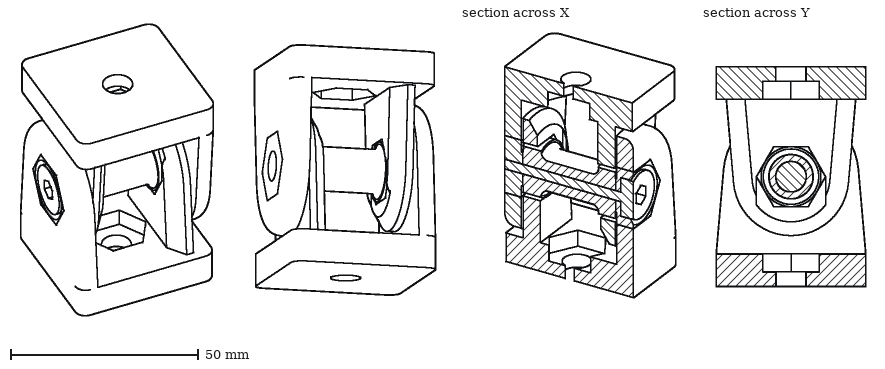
import cadquery as cq
import math


height = 58.75
plate_width = 40.0
plate_thickness = 8.75
edge_radius = 3.0
ear_gap = 0.37
bracket_shift = ear_gap / 2
plate_face = plate_thickness - height / 2

outer_ear_thickness = 5.3
outer_ear_radius = 18.1
ear_arc_rise = 0.35
inner_ear_thickness = 5.6
inner_ear_inset = 2.7
bevel_depth = 3.6
bevel_width = 5.0
ear_split = plate_width / 2 - outer_ear_thickness

mount_hole_diameter = 8.0
mount_hex_flats = 15.0
mount_hex_depth = 4.8

outer_hex_flats = 17.0
inner_hex_flats = 16.0
slot_depth = 0.95
collar_diameter = 12.7
mouth_diameter = 16.5
mouth_depth = 0.9
head_diameter = 13.7
head_height = 4.0
socket_flats = 5.0
socket_depth = 3.5
shank_diameter = 8.0
spool_diameter = 11.9
flange_diameter = inner_hex_flats
flare_diameter = 14.8
flare_length = 1.9
spool_shift = 0.26

outer_face = plate_width / 2 + bracket_shift
insert_face = ear_split + bracket_shift
spool_end = ear_split - bracket_shift
inner_ear_face = spool_end - inner_ear_thickness
front_flange_face = -inner_ear_face - spool_shift
back_flange_face = inner_ear_face - spool_shift


def corner_diameter(flats):
    """Diameter through the corners of a regular hexagon."""
    return flats / math.cos(math.pi / 6)


def plane_at(y):
    """XZ plane at the given Y, extruding towards +Y; local y points along -Z."""
    return cq.Workplane("XZ", origin=(0, y, 0)).transformed(rotate=(180, 0, 0))


def disc(diameter, y_start, y_end):
    return plane_at(y_start).circle(diameter / 2).extrude(y_end - y_start)


def hexagon(flats, y_start, y_end):
    """Hexagonal prism along Y with its corners on the X sides."""
    return plane_at(y_start).polygon(6, corner_diameter(flats)).extrude(y_end - y_start)


def ear_outline(y, base_half_width, tip_radius, foot):
    """Ear outline with a round tip near the hinge axis and flanks tangent to it.

    The flanks pass through base_half_width at the plate face and go down to z = -foot.
    """
    base_drop = ear_arc_rise - plate_face
    base_distance = math.hypot(base_half_width, base_drop)
    tangent_angle = math.acos(tip_radius / base_distance) - math.atan2(base_drop, base_half_width)
    tangent_x = tip_radius * math.cos(tangent_angle)
    tangent_z = ear_arc_rise + tip_radius * math.sin(tangent_angle)
    foot_half_width = base_half_width + (foot + plate_face) * math.tan(tangent_angle)
    return (
        plane_at(y)
        .moveTo(-foot_half_width, foot)
        .lineTo(-tangent_x, -tangent_z)
        .threePointArc((0, -ear_arc_rise - tip_radius), (tangent_x, -tangent_z))
        .lineTo(foot_half_width, foot)
        .close()
    )


def make_plate():
    plate = cq.Workplane("XY").workplane(offset=-height / 2)
    plate = plate.rect(plate_width, plate_width).extrude(plate_thickness)
    return plate.edges("|Z").fillet(edge_radius)


def make_outer_ear():
    """Ear flush with the -Y side of the plate, its outer rim rounded."""
    ear = ear_outline(-plate_width / 2, plate_width / 2, outer_ear_radius, -plate_face)
    ear = ear.extrude(outer_ear_thickness)
    return ear.faces("<Y").edges("not <Z").fillet(edge_radius)


def make_inner_ear():
    """Ear on the +Y side, bevelled towards the middle, with a shallow slot to its tip."""
    half_width = plate_width / 2 - inner_ear_inset
    radius = outer_ear_radius - inner_ear_inset
    inner_face = ear_split - inner_ear_thickness
    bevel_start = inner_face + bevel_depth
    bevel_angle = math.degrees(math.atan(bevel_width / bevel_depth))
    embedment = 0.8 * plate_thickness
    foot = embedment - plate_face

    rim = ear_outline(bevel_start, half_width, radius, foot).extrude(ear_split - bevel_start)
    bevel = ear_outline(bevel_start, half_width, radius, foot).extrude(-bevel_depth, taper=bevel_angle)
    slot = cq.Workplane("XY").box(
        corner_diameter(inner_hex_flats), slot_depth, outer_ear_radius, centered=(True, False, False)
    )
    return rim.union(bevel).cut(slot.translate((0, inner_face, 0)))


def make_bracket():
    """Lower bracket, centred on the plate."""
    bracket = make_plate().union(make_outer_ear()).union(make_inner_ear())
    outer_hole = hexagon(outer_hex_flats, -plate_width / 2, -ear_split)
    inner_hole = hexagon(inner_hex_flats, ear_split - inner_ear_thickness, ear_split)
    mount_hole = (
        cq.Workplane("XY").workplane(offset=-height / 2)
        .circle(mount_hole_diameter / 2).extrude(plate_thickness)
    )
    mount_pocket = (
        cq.Workplane("XY").workplane(offset=plate_face)
        .transformed(rotate=(0, 0, 90))
        .polygon(6, corner_diameter(mount_hex_flats)).extrude(-mount_hex_depth)
    )
    return bracket.cut(outer_hole).cut(inner_hole).cut(mount_hole).cut(mount_pocket)


def make_hex_blank():
    """Hexagon filling the front outer ear, with a collar that spans the gap."""
    blank = hexagon(outer_hex_flats, -outer_face, -insert_face)
    blank = blank.union(disc(collar_diameter, -insert_face, -spool_end))
    return blank.cut(disc(shank_diameter, -outer_face, -spool_end))


def make_insert():
    """Front hexagon with a bevel-mouthed bore for the screw head."""
    mouth_width = (mouth_diameter - head_diameter) / 2
    mouth_angle = math.degrees(math.atan(mouth_width / mouth_depth))
    bore = disc(head_diameter, -outer_face, -outer_face + head_height)
    mouth = plane_at(-outer_face).circle(mouth_diameter / 2).extrude(mouth_depth, taper=mouth_angle)
    return make_hex_blank().cut(bore).cut(mouth)


def make_spool():
    """Tube between the inner ears with a flared flange in each of them."""
    tube_radius = spool_diameter / 2
    flange_radius = flange_diameter / 2
    flare_height = (flare_diameter - spool_diameter) / 2
    flare_arc_radius = (flare_length**2 + flare_height**2) / (2 * flare_height)
    half_sweep = math.atan2(flare_height, flare_length)
    mid_radius = tube_radius + flare_arc_radius * (1 - math.cos(half_sweep))
    mid_offset = flare_length - flare_arc_radius * math.sin(half_sweep)
    spool = (
        cq.Workplane("XY")
        .moveTo(0, -spool_end)
        .lineTo(flange_radius, -spool_end)
        .lineTo(flange_radius, front_flange_face)
        .lineTo(flare_diameter / 2, front_flange_face)
        .threePointArc(
            (mid_radius, front_flange_face + mid_offset),
            (tube_radius, front_flange_face + flare_length),
        )
        .lineTo(tube_radius, back_flange_face - flare_length)
        .threePointArc(
            (mid_radius, back_flange_face - mid_offset),
            (flare_diameter / 2, back_flange_face),
        )
        .lineTo(flange_radius, back_flange_face)
        .lineTo(flange_radius, spool_end)
        .lineTo(0, spool_end)
        .close()
        .revolve(360, (0, 0), (0, 1))
    )
    return spool.cut(disc(shank_diameter, -spool_end, spool_end))


def make_screw():
    """Screw with its head flush in the front insert and its end flush with the nut."""
    screw = disc(shank_diameter, -outer_face, outer_face)
    screw = screw.union(disc(head_diameter, -outer_face, -outer_face + head_height))
    socket = hexagon(socket_flats, -outer_face, -outer_face + socket_depth)
    return screw.cut(socket.rotate((0, 0, 0), (0, 1, 0), 90))


def turned_over(body):
    """Copy turned half a turn about the X axis."""
    return body.rotate((0, 0, 0), (1, 0, 0), 180)


lower_bracket = make_bracket().translate((0, -bracket_shift, 0))
upper_bracket = turned_over(lower_bracket)
insert = make_insert()
nut = turned_over(make_hex_blank())
spool = make_spool()
screw = make_screw()

result = cq.Compound.makeCompound(
    [
        lower_bracket.val(),
        upper_bracket.val(),
        insert.val(),
        nut.val(),
        spool.val(),
        screw.val(),
    ]
)